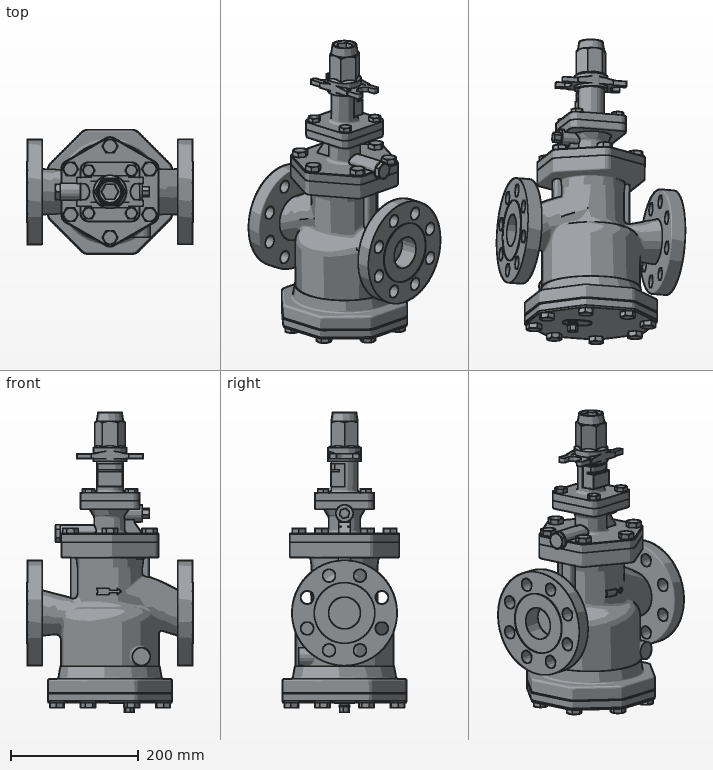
import cadquery as cq
import math


cover_bottom = -140.6
cover_joint = -125.5
octagon_top = -103.2
trunk_base_top = -83.7
bulge_bottom = -13.0
bulge_blend = 8.4
throat_bottom = 18.3
throat_top = 71.0
hexagon_bottom = 86.5
hexagon_joint = 110.4
hexagon_top = 124.6
pilot_neck_bottom = 148.6
square_bottom = 162.3
square_joint = 175.5
square_top = 188.0
collar_bottom = 237.5
collar_top = 258.5
cap_bottom = 262.0
cap_top = 300.5
spindle_top = 314.3
drain_bottom = -155.7

octagon_width = 195.0
octagon_corner = 14.0
octagon_top_round = 4.0
octagon_bottom_round = 3.0
joint_groove = 1.0
joint_groove_height = 1.4
trunk_radius = 154.0 / 2
trunk_foot_radius = 81.0
trunk_foot_fillet = 3.0
trunk_step = 1.0
throat_radius = 51.8
throat_lip_radius = 106.86 / 2
throat_lip_fillet = 2.5
bulge_blend_radius = 59.7
column_reach = 61.7
column_width = 20.0
column_round = 5.0
left_column_bottom = 5.0
right_column_bottom = 40.0

face_to_face = 261.0
flange_diameter = 165.0
flange_thickness = 23.3
flange_round = 2.0
raised_face_diameter = 95.0
raised_face_height = 1.2
bore_diameter = 50.0
bore_depth = 30.0
flange_hole_diameter = 20.0
flange_hole_circle = 126.5
flange_hole_count = 8
pipe_radius = 36.0
flange_back = face_to_face / 2 - raised_face_height - flange_thickness
pipe_end = (0.0, pipe_radius, pipe_radius)
right_pipe_sections = [
    (flange_back + 1, *pipe_end),
    (80.0, 11.0, 35.5, 38.5),
    (18.0, 33.0, 48.5, 34.0),
]
right_pipe_fillet = 4.0
left_pipe_fillet = 8.0
left_pipe_sections = [
    (-flange_back - 1, *pipe_end),
    (-40.0, -5.0, 33.0, 23.5),
]

side_boss_diameter = 28.0
side_boss_x = 49.0
side_boss_z = -68.4
side_boss_face = -71.5
side_boss_fillet = 4.0
drain_x = 30.0
drain_pad_start = 15.0
drain_pad_width = 31.0
drain_pad_height = 1.2
drain_hex_height = 9.0
drain_washer_height = 2.0
drain_washer_diameter = 17.0
small_plug_flats = 14.0
small_plug_turn = -15.0

arrow_height = 1.0
arrow_z = 33.8

hexagon_flats = 152.4
hexagon_corner = 13.0
hexagon_top_edge = 1.0
hexagon_bottom_edge = 3.0
pilot_neck_radius = 50.0 / 2
pilot_neck_fillet = 5.0
pilot_flare_radius = 32.0
plug_boss_diameter = 27.0
left_boss_end = 78.0
left_plug_end = 85.7
left_plug_flats = 24.0
right_boss_z = 156.0
right_boss_end = 50.6
right_plug_end = 61.8
web_width = 18.0
web_top_reach = 38.0

square_width = 93.0
square_corner = 13.0
square_bottom_edge = 2.5
adjuster_radius = 42.0 / 2
adjuster_fillet = 5.0
block_half_width = 19.4
block_front = 21.5
block_bottom = 198.0
block_top = 221.5
block_chamfer = 0.6
guard_bottom = 224.0
guard_top = 233.5
guard_corner_depth = 15.6
collar_radius = 52.0 / 2
cap_flats = 42.0
cap_chamfer = 2.5
cap_top_radius = 42.0 / 2
spindle_top_radius = 37.5 / 2
socket_corners = 27.0
socket_depth = 12.0
socket_mouth_diameter = 34.0
socket_mouth_depth = 2.0

handle_reach = 52.0
handle_half_width = 22.8
handle_bottom = 241.8
handle_top = 249.4
prong_gap_half = 12.7
prong_gap_straight = 39.3
prong_gap_end = 32.0
prong_corner = 2.0
ramp_outer = 29.0
ramp_inner = 6.3
ramp_top = 253.4
ramp_front = 25.2
ramp_back = 16.5

large_bolt_flats = 21.0
large_bolt_head = 8.1
small_bolt_flats = 17.0
small_bolt_head = 6.5
cover_bolt_radius = 89.8
cover_bolt_count = 8
hexagon_bolt_radius = 71.5
hexagon_bolt_count = 6
square_bolt_offset = 33.5
head_chamfer_angle = 30.0


def corner_diameter(flats):
    return flats / math.cos(math.pi / 6)


def hexagon_prism(flats, height):
    """Hexagonal prism on the XY plane, with corners on the X axis."""
    return cq.Workplane("XY").polygon(6, corner_diameter(flats)).extrude(height)


def bolt_head(flats, height):
    """Hexagonal head standing on the XY plane, its top corners turned to a cone."""
    corner = corner_diameter(flats) / 2
    drop = (corner - flats / 2) * math.tan(math.radians(head_chamfer_angle))
    cone = (
        cq.Workplane("XZ")
        .polyline([(0, 0), (corner, 0), (corner, height - drop), (flats / 2, height), (0, height)])
        .close()
        .revolve(360, (0, 0), (0, 1))
    )
    return hexagon_prism(flats, height).intersect(cone)


def regular_plate(sides, flats, turn, bottom, top, corner):
    """Regular polygon plate with rounded vertical corners."""
    diameter = flats / math.cos(math.pi / sides)
    plate = cq.Workplane("XY").polygon(sides, diameter).extrude(top - bottom)
    plate = plate.edges("|Z").fillet(corner)
    return plate.rotate((0, 0, 0), (0, 0, 1), turn).translate((0, 0, bottom))


def cylinder(radius, bottom, top):
    return cq.Workplane("XY").circle(radius).extrude(top - bottom).translate((0, 0, bottom))


def x_cylinder(diameter, start, end, z):
    """Cylinder parallel to the X axis, at Y = 0."""
    return cq.Workplane("YZ").center(0, z).circle(diameter / 2).extrude(end - start).translate((start, 0, 0))


def trunk():
    """Turned casting from the octagon up to the hexagon flange."""
    blend = 2 * math.atan((trunk_radius - throat_radius) / (throat_bottom - bulge_bottom))
    bulge_radius = (trunk_radius - bulge_blend_radius) / (1 - math.cos(blend))
    bulge_mid = (
        trunk_radius - bulge_radius * (1 - math.cos(blend / 2)),
        bulge_bottom + bulge_radius * math.sin(blend / 2),
    )
    return (
        cq.Workplane("XZ")
        .moveTo(0, octagon_top)
        .lineTo(trunk_foot_radius + trunk_foot_fillet, octagon_top)
        .radiusArc((trunk_foot_radius, octagon_top + trunk_foot_fillet), trunk_foot_fillet)
        .lineTo(trunk_radius + trunk_step, trunk_base_top)
        .lineTo(trunk_radius, trunk_base_top)
        .lineTo(trunk_radius, bulge_bottom)
        .threePointArc(bulge_mid, (bulge_blend_radius, bulge_blend))
        .tangentArcPoint((throat_radius, throat_bottom), relative=False)
        .lineTo(throat_radius, throat_top)
        .lineTo(throat_lip_radius, hexagon_bottom - throat_lip_fillet)
        .radiusArc((throat_lip_radius + throat_lip_fillet, hexagon_bottom), throat_lip_fillet)
        .lineTo(0, hexagon_bottom)
        .close()
        .revolve(360, (0, 0), (0, 1))
    )


def side_boss():
    """Round boss facing -Y, filleted onto a straight stretch of the trunk."""
    stretch = cylinder(trunk_radius, octagon_top, bulge_bottom)
    boss = (
        cq.Workplane("XZ")
        .center(side_boss_x, side_boss_z)
        .circle(side_boss_diameter / 2)
        .extrude(-side_boss_face)
    )
    reach = side_boss_diameter / 4
    around_root = cq.selectors.BoxSelector(
        (side_boss_x - reach, side_boss_face + reach / 2, side_boss_z - reach),
        (side_boss_x + reach, 0, side_boss_z + reach),
    )
    return stretch.union(boss).edges(around_root).fillet(side_boss_fillet)


def octagon():
    """Bottom flange and cover plate, with a shallow groove where they are clamped together."""
    plate = regular_plate(8, octagon_width, 180 / 8, cover_bottom, octagon_top, octagon_corner)
    plate = plate.faces(">Z").edges().fillet(octagon_top_round)
    plate = plate.faces("<Z").edges().chamfer(octagon_bottom_round, octagon_bottom_round / 3)
    groove_bottom = cover_joint - joint_groove_height / 2
    groove_top = cover_joint + joint_groove_height / 2
    inner = octagon_width - 2 * joint_groove
    core = regular_plate(8, inner, 180 / 8, groove_bottom, groove_top, octagon_corner - joint_groove)
    ring = cylinder(octagon_width, groove_bottom, groove_top).cut(core)
    return plate.cut(ring)


def cover_bolts():
    heads = cq.Workplane("XY")
    for index in range(cover_bolt_count):
        angle = (index + 0.5) * 360 / cover_bolt_count
        head = bolt_head(large_bolt_flats, large_bolt_head).rotate((0, 0, 0), (1, 0, 0), 180)
        head = head.translate((cover_bolt_radius, 0, cover_bottom))
        heads = heads.add(head.rotate((0, 0, 0), (0, 0, 1), angle))
    return heads.combine()


def drain():
    """Raised pad under the cover with a hexagonal drain plug at one end."""
    pad_bottom = cover_bottom - drain_pad_height
    pad_length = drain_x - drain_pad_start + drain_pad_width
    pad = (
        cq.Workplane("XY")
        .center((drain_x + drain_pad_start) / 2, 0)
        .slot2D(pad_length, drain_pad_width)
        .extrude(drain_pad_height)
        .translate((0, 0, pad_bottom))
    )
    washer_bottom = drain_bottom + drain_hex_height
    washer_top = washer_bottom + drain_washer_height
    stem = cylinder(small_plug_flats / 2, drain_bottom, cover_bottom)
    washer = cylinder(drain_washer_diameter / 2, washer_bottom, washer_top)
    key = hexagon_prism(small_plug_flats, drain_hex_height)
    key = key.rotate((0, 0, 0), (0, 0, 1), small_plug_turn)
    plug = stem.union(washer).union(key.translate((0, 0, drain_bottom)))
    return pad.union(plug.translate((drain_x, 0, 0)))


def flange():
    """Flange on the +X side, with its raised face, before drilling."""
    disc = x_cylinder(flange_diameter, flange_back, flange_back + flange_thickness, 0)
    disc = disc.faces("<X").edges().fillet(flange_round)
    return disc.union(x_cylinder(raised_face_diameter, flange_back, face_to_face / 2, 0))


def flange_cuts():
    """Bolt holes and the blind bore of the +X flange."""
    holes = (
        cq.Workplane("YZ")
        .polarArray(flange_hole_circle / 2, 180 / flange_hole_count, 360, flange_hole_count)
        .circle(flange_hole_diameter / 2)
        .extrude(flange_thickness)
        .translate((flange_back, 0, 0))
    )
    bore = x_cylinder(bore_diameter, face_to_face / 2 - bore_depth, face_to_face / 2, 0)
    return holes.union(bore)


def pipe(sections):
    """Casting passage through oval sections, each (X, centre Z, half width, half height)."""
    wires = []
    for x, z, half_width, half_height in sections:
        oval = cq.Workplane("YZ", origin=(x, 0, z)).ellipse(half_width, half_height)
        wires.append(oval.wire().val())
    return cq.Workplane(cq.Solid.makeLoft(wires))


def trunk_with_pipe(sections, fillet):
    """Trunk and one pipe, filleted along the pipe's root on the bulge and the wall below it."""
    side = math.copysign(1, sections[0][0])
    x_limits = sorted((side * 0.3 * trunk_radius, side * 1.15 * trunk_radius))
    around_root = cq.selectors.BoxSelector(
        (x_limits[0], -trunk_radius, -pipe_radius),
        (x_limits[1], trunk_radius, throat_top),
    )
    return trunk().union(pipe(sections)).edges(around_root).fillet(fillet)


def column(side, bottom):
    """Vertical rib beside the throat that carries a pressure passage."""
    rib = cq.Workplane("XY").box(2 * column_reach, column_width, hexagon_bottom - bottom)
    rib = rib.edges("|Z").fillet(column_round)
    half = cq.Workplane("XY").box(column_reach, column_width, hexagon_bottom - bottom)
    half = half.translate((side * column_reach / 2, 0, 0))
    return rib.intersect(half).translate((0, 0, (hexagon_bottom + bottom) / 2))


def flow_arrow():
    """Raised arrow on the front of the throat, pointing to +X."""
    tail_half, shaft_half, head_half = 5.2, 1.8, 5.0
    tail_start, notch, tail_end, shaft_end, tip = -21.0, -19.0, 0.0, 11.0, 18.0
    tail_taper = 2.0
    outline = [
        (tail_start, tail_half),
        (tail_end - tail_taper, tail_half),
        (tail_end, shaft_half),
        (shaft_end, shaft_half),
        (shaft_end, head_half),
        (tip, 0),
        (shaft_end, -head_half),
        (shaft_end, -shaft_half),
        (tail_end, -shaft_half),
        (tail_end - tail_taper, -tail_half),
        (tail_start, -tail_half),
        (notch, 0),
    ]
    prism = cq.Workplane("XZ").center(0, arrow_z).polyline(outline).close().extrude(2 * throat_radius)
    shell = cylinder(throat_radius + arrow_height, throat_bottom, throat_top)
    return prism.intersect(shell)


def hexagon_flange():
    plate = regular_plate(6, hexagon_flats, 30, hexagon_bottom, hexagon_top, hexagon_corner)
    plate = plate.faces("<Z").edges().fillet(hexagon_bottom_edge)
    return plate.faces(">Z").edges().chamfer(hexagon_top_edge)


def slab(bottom, top):
    """Block wider than any flange, for splitting flanges at their joints."""
    size = 2 * octagon_width
    return cq.Workplane("XY").rect(size, size).extrude(top - bottom).translate((0, 0, bottom))


casting = trunk_with_pipe(right_pipe_sections, right_pipe_fillet)
casting = casting.union(trunk_with_pipe(left_pipe_sections, left_pipe_fillet))
main_body = casting.union(side_boss()).union(octagon()).union(cover_bolts()).union(drain())
main_body = main_body.union(hexagon_flange().intersect(slab(hexagon_bottom, hexagon_joint)))
main_body = main_body.union(column(-1, left_column_bottom)).union(column(1, right_column_bottom))
main_body = main_body.union(flow_arrow())
for turn in (0, 180):
    main_body = main_body.union(flange().rotate((0, 0, 0), (0, 0, 1), turn))
    main_body = main_body.cut(flange_cuts().rotate((0, 0, 0), (0, 0, 1), turn))


def square_flange():
    plate = cq.Workplane("XY").rect(square_width, square_width).extrude(square_top - square_bottom)
    plate = plate.edges("|Z").fillet(square_corner)
    plate = plate.faces("<Z").edges().chamfer(square_bottom_edge, square_bottom_edge / 4)
    return plate.translate((0, 0, square_bottom))


def pilot_neck():
    """Turned neck, filleted onto the hexagon flange and flaring out under the square flange."""
    fillet = pilot_neck_fillet
    inset = fillet * (1 - math.sqrt(0.5))
    flare_start = (pilot_neck_radius + 2, pilot_neck_bottom + 5)
    return (
        cq.Workplane("XZ")
        .moveTo(0, hexagon_top)
        .lineTo(pilot_neck_radius + fillet, hexagon_top)
        .threePointArc(
            (pilot_neck_radius + inset, hexagon_top + inset),
            (pilot_neck_radius, hexagon_top + fillet),
        )
        .lineTo(pilot_neck_radius, pilot_neck_bottom)
        .tangentArcPoint(flare_start, relative=False)
        .lineTo(pilot_flare_radius, square_bottom)
        .lineTo(0, square_bottom)
        .close()
        .revolve(360, (0, 0), (0, 1))
    )


def hexagon_bolts():
    heads = cq.Workplane("XY")
    for index in range(hexagon_bolt_count):
        angle = 30 + index * 360 / hexagon_bolt_count
        x = hexagon_bolt_radius * math.cos(math.radians(angle))
        y = hexagon_bolt_radius * math.sin(math.radians(angle))
        heads = heads.add(bolt_head(large_bolt_flats, large_bolt_head).translate((x, y, hexagon_top)))
    return heads.combine()


def left_plug():
    """Horizontal boss over the hexagon flange, closed by a hexagonal plug."""
    boss = x_cylinder(plug_boss_diameter, -left_boss_end, 0, hexagon_top)
    plug = bolt_head(left_plug_flats, left_plug_end - left_boss_end).rotate((0, 0, 0), (0, 1, 0), -90)
    return boss.union(plug.translate((-left_boss_end, 0, hexagon_top)))


def right_plug():
    """Horizontal boss under the square flange with a small plug, carried by a sloping web."""
    boss = x_cylinder(plug_boss_diameter, 0, right_boss_end, right_boss_z)
    key = hexagon_prism(small_plug_flats, right_plug_end - right_boss_end)
    key = key.rotate((0, 0, 0), (0, 0, 1), small_plug_turn).rotate((0, 0, 0), (0, 1, 0), 90)
    web_outline = [
        (0, hexagon_top),
        (right_boss_end, hexagon_top),
        (web_top_reach, right_boss_z - plug_boss_diameter / 2),
        (web_top_reach, right_boss_z),
        (0, right_boss_z),
    ]
    web = cq.Workplane("XZ").polyline(web_outline).close().extrude(web_width / 2, both=True)
    return boss.union(web).union(key.translate((right_boss_end, 0, right_boss_z)))


pilot_parts = pilot_neck().union(left_plug()).union(right_plug()).union(hexagon_bolts())
pilot = hexagon_flange().union(pilot_parts).union(square_flange())
pilot = pilot.intersect(slab(hexagon_joint, square_joint))


def adjuster_core():
    """Turned spring housing, collar and cone that carry the cap."""
    fillet = adjuster_fillet
    inset = fillet * (1 - math.sqrt(0.5))
    return (
        cq.Workplane("XZ")
        .moveTo(0, square_top)
        .lineTo(adjuster_radius + fillet, square_top)
        .threePointArc(
            (adjuster_radius + inset, square_top + inset),
            (adjuster_radius, square_top + fillet),
        )
        .lineTo(adjuster_radius, collar_bottom)
        .lineTo(collar_radius, collar_bottom)
        .lineTo(collar_radius, collar_top)
        .lineTo(adjuster_radius, cap_bottom)
        .lineTo(cap_top_radius, cap_top)
        .lineTo(spindle_top_radius, spindle_top)
        .lineTo(0, spindle_top)
        .close()
        .revolve(360, (0, 0), (0, 1))
    )


def front_recess():
    """Material removed to leave side flats on the front half of the spring housing."""
    size = 2 * collar_radius
    height = guard_top - block_bottom
    front = cq.Workplane("XY").rect(size, size).extrude(height).translate((0, -size / 2, block_bottom))
    keep = cq.Workplane("XY").rect(2 * block_half_width, 2 * size).extrude(height)
    return front.cut(keep.translate((0, 0, block_bottom)))


def front_block():
    """Square block on the front of the housing, with a curved guard above it."""
    block = cq.Workplane("XY").rect(2 * block_half_width, block_front).extrude(block_top - block_bottom)
    block = block.translate((0, -block_front / 2, block_bottom)).faces("<Y").edges().chamfer(block_chamfer)
    guard = (
        cq.Workplane("XY")
        .moveTo(-block_half_width, 0)
        .lineTo(-block_half_width, -guard_corner_depth)
        .threePointArc((0, -block_front), (block_half_width, -guard_corner_depth))
        .lineTo(block_half_width, 0)
        .close()
        .extrude(guard_top - guard_bottom)
        .translate((0, 0, guard_bottom))
    )
    return block.union(guard)


def cap():
    """Hexagonal cap with its top and bottom corners turned to a cone."""
    corner = corner_diameter(cap_flats) / 2
    turned_outline = [
        (0, collar_top),
        (collar_radius, collar_top),
        (corner, cap_bottom - 1),
        (corner, cap_top - cap_chamfer),
        (cap_top_radius, cap_top),
        (0, cap_top),
    ]
    turned = cq.Workplane("XZ").polyline(turned_outline).close().revolve(360, (0, 0), (0, 1))
    prism = hexagon_prism(cap_flats, cap_top - collar_top).translate((0, 0, collar_top))
    return prism.intersect(turned)


def socket():
    """Hexagonal socket with a conical mouth, sunk into the top."""
    socket_flats = socket_corners * math.cos(math.pi / 6)
    recess = hexagon_prism(socket_flats, socket_depth).translate((0, 0, spindle_top - socket_depth))
    mouth = (
        cq.Workplane("XY")
        .workplane(offset=spindle_top)
        .circle(socket_mouth_diameter / 2)
        .workplane(offset=-socket_mouth_depth)
        .circle(socket_flats / 2)
        .loft(ruled=True)
    )
    return recess.union(mouth)


def handle_arm():
    """Forked arm on the +X side, with sloping ramps along its two edges."""
    arm = (
        cq.Workplane("XY")
        .moveTo(0, -handle_half_width)
        .lineTo(handle_reach, -handle_half_width)
        .lineTo(handle_reach, -prong_gap_half)
        .lineTo(prong_gap_straight, -prong_gap_half)
        .threePointArc((prong_gap_end, 0), (prong_gap_straight, prong_gap_half))
        .lineTo(handle_reach, prong_gap_half)
        .lineTo(handle_reach, handle_half_width)
        .lineTo(0, handle_half_width)
        .close()
        .extrude(handle_top - handle_bottom)
    )
    arm = arm.edges("|Z and >X").fillet(prong_corner).translate((0, 0, handle_bottom))
    ramp_outline = [
        (ramp_inner, handle_bottom),
        (ramp_outer, handle_bottom),
        (ramp_outer, handle_top),
        (ramp_inner, ramp_top),
    ]
    ramp = cq.Workplane("XZ").polyline(ramp_outline).close().extrude(ramp_front - ramp_back)
    front_ramp = ramp.translate((0, -ramp_back, 0))
    return arm.union(front_ramp).union(front_ramp.mirror("XZ"))


def square_bolts():
    heads = cq.Workplane("XY")
    for x in (-square_bolt_offset, square_bolt_offset):
        for y in (-square_bolt_offset, square_bolt_offset):
            heads = heads.add(bolt_head(small_bolt_flats, small_bolt_head).translate((x, y, square_top)))
    return heads.combine()


adjuster = square_flange().intersect(slab(square_joint, square_top))
adjuster = adjuster.union(adjuster_core().cut(front_recess())).union(front_block())
adjuster = adjuster.union(cap()).union(square_bolts()).cut(socket())
adjuster = adjuster.union(handle_arm()).union(handle_arm().mirror("YZ"))

result = cq.Compound.makeCompound([main_body.val(), pilot.val(), adjuster.val()])